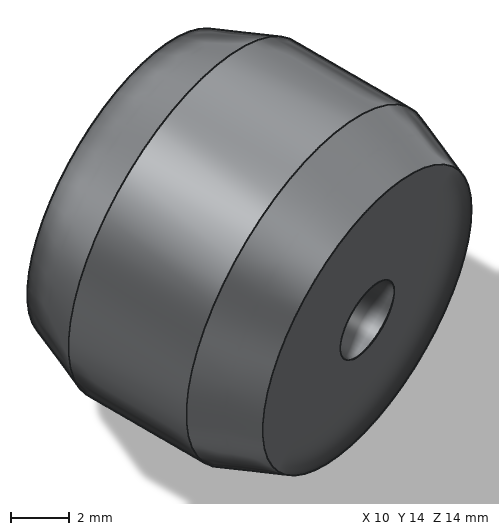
import cadquery as cq
import math


length = 10.0
outer_diameter = 14.0
end_diameter = 12.0
taper_length = length / 4

bore_diameter = 3.3
bore_exit_diameter = 3.1
cone_angle = 118.0
cone_length = (bore_diameter - bore_exit_diameter) / 2 / math.tan(math.radians(cone_angle / 2))

half_length = length / 2
band_half_length = half_length - taper_length

half_section = (
    cq.Workplane("XY")
    .moveTo(-half_length, bore_diameter / 2)
    .lineTo(-half_length, end_diameter / 2)
    .lineTo(-band_half_length, outer_diameter / 2)
    .lineTo(band_half_length, outer_diameter / 2)
    .lineTo(half_length, end_diameter / 2)
    .lineTo(half_length, bore_exit_diameter / 2)
    .lineTo(half_length - cone_length, bore_diameter / 2)
    .close()
)

result = half_section.revolve(360, (0, 0, 0), (1, 0, 0))